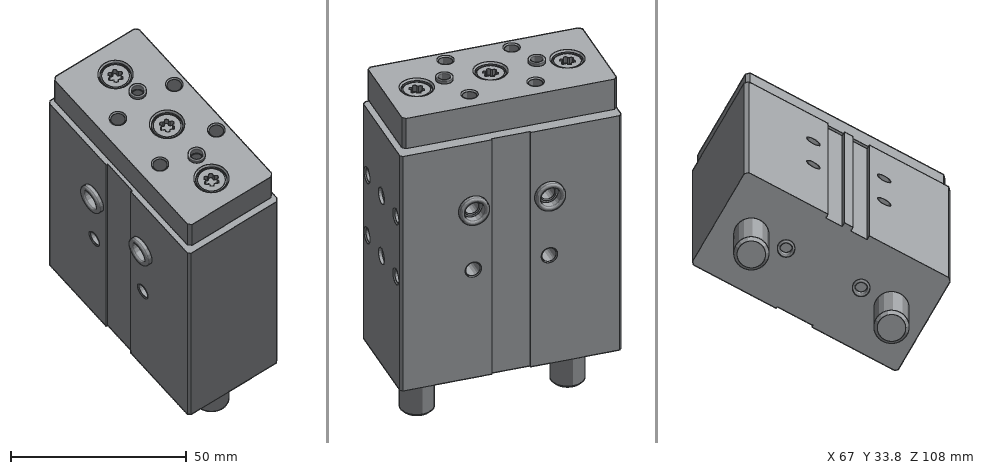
import cadquery as cq
import math


HOUSING_WIDTH = 67.0
HOUSING_DEPTH = 32.0
HOUSING_BOTTOM = 17.0
HOUSING_HEIGHT = 78.0
HOUSING_TOP = HOUSING_BOTTOM + HOUSING_HEIGHT
HOUSING_FRONT_CHAMFER = 0.8
HOUSING_REAR_CHAMFER = 1.0

YOKE_GAP = 1.8
YOKE_WIDTH = 65.0
YOKE_DEPTH = 29.9
YOKE_THICKNESS = 10.0
YOKE_CHAMFER = 1.0
YOKE_Y = -0.1
YOKE_BOTTOM = HOUSING_TOP + YOKE_GAP
YOKE_TOP = YOKE_BOTTOM + YOKE_THICKNESS
PISTON_Y = 1.3

GUIDE_ROD_PITCH = 45.6
GUIDE_ROD_DIAMETER = 10.0
GUIDE_ROD_CHAMFER = 1.0
PISTON_DIAMETER = 8.0
PISTON_FLATS = 7.0
PISTON_INSERTION = 54.0

HEAD_DIAMETER = 9.0
HEAD_CHAMFER = 0.5
HEAD_RECESS = 0.6
SEAT_RIM_DIAMETER = 10.0
SOCKET_SIZE = 4.5
SOCKET_LOBE_WIDTH = 1.2
SOCKET_CORE_DIAMETER = 3.2
SOCKET_DEPTH = 2.0
LOBE_ANGLES = (30, 90, 150)

THREAD_DIAMETER = 4.1
COUNTERSINK_DIAMETER = 5.0
THREAD_DEPTH = 10.0
SLEEVE_THREAD_DEPTH = 4.3
DRILL_POINT_ANGLE = 118.0
THROUGH_DIAMETER = 4.3
FIXING_PITCH_X = 23.0
FIXING_PITCH_Z = 20.0
FIXING_TOP_INSET = 22.0
FIXING_TOP_Z = HOUSING_TOP - FIXING_TOP_INSET
FIXING_LEVELS = [FIXING_TOP_Z, FIXING_TOP_Z - FIXING_PITCH_Z]
SIDE_THREAD_PITCH = 24.0
SIDE_RECESS_DIAMETER = 5.0
SIDE_RECESS_DEPTH = 1.1
YOKE_HOLE_PITCH = 20.0

FRONT_GROOVE_WIDTH = 11.7
FRONT_GROOVE_DEPTH = 0.5
SENSOR_SLOT_WIDTH = 5.3
SENSOR_SLOT_DEPTH = 1.3
SENSOR_RIB_WIDTH = 2.8

LARGE_SLEEVE_DIAMETER = 9.0
LARGE_SLEEVE_BORE = 6.2
LARGE_SLEEVE_LENGTH = 3.0
LARGE_SLEEVE_PROTRUSION = 1.8
SMALL_SLEEVE_DIAMETER = 5.0
SMALL_SLEEVE_BORE = 3.6
SMALL_SLEEVE_LENGTH = 2.5
SMALL_SLEEVE_PROTRUSION = 1.2
YOKE_SLEEVE_PITCH = 28.0
UNDERSIDE_SLEEVE_PITCH = 24.4

FRONT_Y = -HOUSING_DEPTH / 2
REAR_Y = HOUSING_DEPTH / 2
SIDES = (-1, 1)

UP = cq.Vector(0, 0, 1)
DOWN = cq.Vector(0, 0, -1)
FORWARD = cq.Vector(0, -1, 0)
BACKWARD = cq.Vector(0, 1, 0)
RIGHTWARD = cq.Vector(1, 0, 0)


def cylinder(start, direction, diameter, length):
    return cq.Workplane(cq.Solid.makeCylinder(diameter / 2, length, start, direction))


def countersink(rim_center, inward, hole_diameter, rim_diameter):
    """45 degree cone from the rim of a hole down to its wall."""
    depth = (rim_diameter - hole_diameter) / 2
    return cq.Workplane(
        cq.Solid.makeCone(rim_diameter / 2, hole_diameter / 2, depth, rim_center, inward)
    )


def threaded_hole(rim_center, inward, depth):
    """Blind hole with a drill point, without its countersink."""
    radius = THREAD_DIAMETER / 2
    point_depth = radius / math.tan(math.radians(DRILL_POINT_ANGLE / 2))
    point = cq.Solid.makeCone(radius, 0, point_depth, rim_center + inward * depth, inward)
    return cylinder(rim_center, inward, THREAD_DIAMETER, depth).union(cq.Workplane(point))


def guide_rod_axes():
    return [side * GUIDE_ROD_PITCH / 2 for side in SIDES]


def large_sleeve_seats():
    """Pocket floor centres of the large sleeves, on the upper pair of fixing holes."""
    floor_y = FRONT_Y + LARGE_SLEEVE_LENGTH - LARGE_SLEEVE_PROTRUSION
    return [cq.Vector(side * FIXING_PITCH_X / 2, floor_y, FIXING_TOP_Z) for side in SIDES]


def yoke_sleeve_seats():
    floor_z = YOKE_TOP + SMALL_SLEEVE_PROTRUSION - SMALL_SLEEVE_LENGTH
    return [cq.Vector(side * YOKE_SLEEVE_PITCH / 2, PISTON_Y, floor_z) for side in SIDES]


def underside_sleeve_seats():
    floor_z = HOUSING_BOTTOM - SMALL_SLEEVE_PROTRUSION + SMALL_SLEEVE_LENGTH
    return [cq.Vector(side * UNDERSIDE_SLEEVE_PITCH / 2, PISTON_Y, floor_z) for side in SIDES]


def piston_rod():
    bottom = HOUSING_TOP - PISTON_INSERTION
    length = YOKE_BOTTOM - bottom
    rod = cq.Workplane("XY", origin=(0, PISTON_Y, bottom)).circle(PISTON_DIAMETER / 2).extrude(length)
    flats = cq.Workplane("XY", origin=(0, PISTON_Y, bottom)).rect(PISTON_FLATS, PISTON_DIAMETER)
    return rod.intersect(flats.extrude(length))


def screw_head(x, y):
    """Chamfered round head with a six-lobed socket, filling its seat in the yoke."""
    top = YOKE_TOP - HEAD_RECESS
    head = (
        cylinder(cq.Vector(x, y, YOKE_BOTTOM), UP, HEAD_DIAMETER, top - YOKE_BOTTOM)
        .faces(">Z").chamfer(HEAD_CHAMFER)
    )
    socket_plane = cq.Workplane("XY", origin=(x, y, top - SOCKET_DEPTH))
    head = head.cut(socket_plane.circle(SOCKET_CORE_DIAMETER / 2).extrude(SOCKET_DEPTH))
    for angle in LOBE_ANGLES:
        lobes = socket_plane.slot2D(SOCKET_SIZE, SOCKET_LOBE_WIDTH, angle).extrude(SOCKET_DEPTH)
        head = head.cut(lobes)
    return head


def make_housing():
    base = cq.Workplane("XY", origin=(0, 0, HOUSING_BOTTOM))
    body = base.rect(HOUSING_WIDTH, HOUSING_DEPTH).extrude(HOUSING_HEIGHT)
    body = body.faces("<Y").edges("|Z").chamfer(HOUSING_FRONT_CHAMFER)
    body = body.faces(">Y").edges("|Z").chamfer(HOUSING_REAR_CHAMFER)

    body = body.cut(
        base.center(0, FRONT_Y).rect(FRONT_GROOVE_WIDTH, 2 * FRONT_GROOVE_DEPTH).extrude(HOUSING_HEIGHT)
    )
    slot_x = (SENSOR_RIB_WIDTH + SENSOR_SLOT_WIDTH) / 2
    body = body.cut(
        base.pushPoints([(side * slot_x, REAR_Y) for side in SIDES])
        .rect(SENSOR_SLOT_WIDTH, 2 * SENSOR_SLOT_DEPTH).extrude(HOUSING_HEIGHT)
    )

    for x in guide_rod_axes():
        body = body.cut(cylinder(cq.Vector(x, 0, HOUSING_BOTTOM), UP, GUIDE_ROD_DIAMETER, HOUSING_HEIGHT))
    body = body.cut(piston_rod())

    for side in SIDES:
        for z in FIXING_LEVELS:
            rim = cq.Vector(side * FIXING_PITCH_X / 2, FRONT_Y, z)
            body = body.cut(cylinder(rim, BACKWARD, THROUGH_DIAMETER, HOUSING_DEPTH))
            body = body.cut(countersink(rim, BACKWARD, THROUGH_DIAMETER, COUNTERSINK_DIAMETER))
    for seat in large_sleeve_seats():
        rim = cq.Vector(seat.x, FRONT_Y, seat.z)
        body = body.cut(cylinder(rim, BACKWARD, LARGE_SLEEVE_DIAMETER, seat.y - FRONT_Y))
        body = body.cut(countersink(seat, BACKWARD, THROUGH_DIAMETER, COUNTERSINK_DIAMETER))

    left_x = -HOUSING_WIDTH / 2
    for z in FIXING_LEVELS:
        for side in SIDES:
            rim = cq.Vector(left_x, side * SIDE_THREAD_PITCH / 2, z)
            body = body.cut(threaded_hole(rim, RIGHTWARD, THREAD_DEPTH))
            body = body.cut(countersink(rim, RIGHTWARD, THREAD_DIAMETER, COUNTERSINK_DIAMETER))
        center = cq.Vector(left_x, 0, z)
        body = body.cut(cylinder(center, RIGHTWARD, SIDE_RECESS_DIAMETER, SIDE_RECESS_DEPTH))

    for seat in underside_sleeve_seats():
        body = body.cut(cylinder(seat, DOWN, SMALL_SLEEVE_DIAMETER, SMALL_SLEEVE_LENGTH))
    return body


def make_yoke():
    """Yoke plate in one piece with the piston rod and its screw head."""
    plate = (
        cq.Workplane("XY", origin=(0, YOKE_Y, YOKE_BOTTOM))
        .rect(YOKE_WIDTH, YOKE_DEPTH).extrude(YOKE_THICKNESS)
        .edges("|Z").chamfer(YOKE_CHAMFER)
    )

    for x, y in [(-GUIDE_ROD_PITCH / 2, 0), (0, PISTON_Y), (GUIDE_ROD_PITCH / 2, 0)]:
        plate = plate.cut(cylinder(cq.Vector(x, y, YOKE_BOTTOM), UP, HEAD_DIAMETER, YOKE_THICKNESS))
        rim = cq.Vector(x, y, YOKE_TOP)
        plate = plate.cut(countersink(rim, DOWN, HEAD_DIAMETER, SEAT_RIM_DIAMETER))

    for side_x in SIDES:
        for side_y in SIDES:
            rim = cq.Vector(side_x * YOKE_HOLE_PITCH / 2, PISTON_Y + side_y * YOKE_HOLE_PITCH / 2, YOKE_TOP)
            plate = plate.cut(cylinder(rim, DOWN, THREAD_DIAMETER, YOKE_THICKNESS))
            plate = plate.cut(countersink(rim, DOWN, THREAD_DIAMETER, COUNTERSINK_DIAMETER))

    for seat in yoke_sleeve_seats():
        plate = plate.cut(cylinder(seat, UP, SMALL_SLEEVE_DIAMETER, SMALL_SLEEVE_LENGTH))
        plate = plate.cut(threaded_hole(seat, DOWN, SLEEVE_THREAD_DEPTH))

    return plate.union(screw_head(0, PISTON_Y)).union(piston_rod())


def make_guide_rod(x):
    """Guide rod that ends under the yoke, with its screw head in the yoke above."""
    rod = cylinder(cq.Vector(x, 0, 0), UP, GUIDE_ROD_DIAMETER, YOKE_BOTTOM)
    rod = rod.faces("<Z").chamfer(GUIDE_ROD_CHAMFER)
    return rod.union(screw_head(x, 0))


def make_sleeve(seat, outward, diameter, bore, length):
    """Ring standing on its pocket floor, with a fully rounded outer end."""
    wall = (diameter - bore) / 2
    shoulder = length - wall / 2
    axis_plane = cq.Plane(origin=seat, xDir=RIGHTWARD, normal=outward)
    return (
        cq.Workplane(axis_plane.rotated((90, 0, 0)))
        .moveTo(bore / 2, 0)
        .lineTo(diameter / 2, 0)
        .lineTo(diameter / 2, shoulder)
        .threePointArc(((bore + diameter) / 4, length), (bore / 2, shoulder))
        .close()
        .revolve(360, (0, 0), (0, 1))
    )


def make_large_sleeve(seat):
    return make_sleeve(seat, FORWARD, LARGE_SLEEVE_DIAMETER, LARGE_SLEEVE_BORE, LARGE_SLEEVE_LENGTH)


def make_small_sleeve(seat, outward):
    return make_sleeve(seat, outward, SMALL_SLEEVE_DIAMETER, SMALL_SLEEVE_BORE, SMALL_SLEEVE_LENGTH)


housing = make_housing()
yoke = make_yoke()
guide_rods = [make_guide_rod(x) for x in guide_rod_axes()]
large_sleeves = [make_large_sleeve(seat) for seat in large_sleeve_seats()]
yoke_sleeves = [make_small_sleeve(seat, UP) for seat in yoke_sleeve_seats()]
underside_sleeves = [make_small_sleeve(seat, DOWN) for seat in underside_sleeve_seats()]

repeated_bodies = [*guide_rods, *large_sleeves, *yoke_sleeves, *underside_sleeves]
result = cq.Compound.makeCompound([housing.val(), yoke.val(), *[body.val() for body in repeated_bodies]])